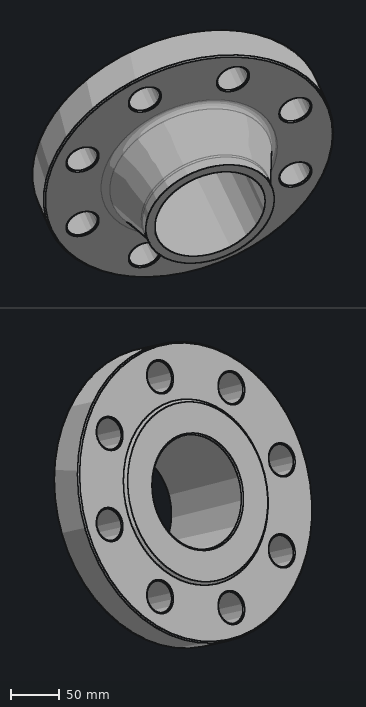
import cadquery as cq

total_length = 115.0
flange_diameter = 315.0
flange_back = 44.0
flange_chamfer = 1.5

raised_face_height = 3.0
raised_face_diameter = 188.0

neck_base_diameter = 180.0
weld_end_diameter = 139.5
weld_end_length = 13.5
neck_fillet = 8.2

bore_diameter = 119.7
bore_chamfer = 1.5

bolt_count = 8
bolt_circle_diameter = 250.0
bolt_hole_diameter = 33.0
bolt_hole_chamfer = 1.3


def make_body():
    """Revolve the outer profile, with both ends of the conical neck rounded."""
    face_radius = raised_face_diameter / 2
    flange_radius = flange_diameter / 2
    neck_radius = neck_base_diameter / 2
    weld_radius = weld_end_diameter / 2
    neck_end = total_length - weld_end_length

    body = (
        cq.Workplane("XY")
        .moveTo(0, 0)
        .lineTo(0, face_radius)
        .lineTo(raised_face_height, face_radius + raised_face_height)
        .lineTo(raised_face_height, flange_radius - flange_chamfer)
        .lineTo(raised_face_height + flange_chamfer, flange_radius)
        .lineTo(flange_back - flange_chamfer, flange_radius)
        .lineTo(flange_back, flange_radius - flange_chamfer)
        .lineTo(flange_back, neck_radius)
        .lineTo(neck_end, weld_radius)
        .lineTo(total_length, weld_radius)
        .lineTo(total_length, 0)
        .close()
        .revolve(360, (0, 0, 0), (1, 0, 0))
    )

    def bounds_cone(edge):
        below_rim = edge.radius() < face_radius
        return below_rim and flange_back <= round(edge.Center().x, 3) < total_length

    return body.edges("%CIRCLE").filter(bounds_cone).fillet(neck_fillet)


def make_hole(diameter, start, end, front_chamfer, back_chamfer=0.0):
    """Cutter along X from start to end, widened by a 45 degree chamfer at either end."""
    radius = diameter / 2
    profile = (
        cq.Workplane("XY")
        .moveTo(start, 0)
        .lineTo(start, radius + front_chamfer)
        .lineTo(start + front_chamfer, radius)
        .lineTo(end - back_chamfer, radius)
    )
    if back_chamfer > 0:
        profile = profile.lineTo(end, radius + back_chamfer)
    return profile.lineTo(end, 0).close().revolve(360, (0, 0, 0), (1, 0, 0))


result = make_body().cut(make_hole(bore_diameter, 0, total_length, bore_chamfer))

bolt_hole = make_hole(
    bolt_hole_diameter, raised_face_height, flange_back, bolt_hole_chamfer, bolt_hole_chamfer
).translate((0, bolt_circle_diameter / 2, 0))
bolt_pitch_angle = 360 / bolt_count

for index in range(bolt_count):
    angle = (index + 0.5) * bolt_pitch_angle
    result = result.cut(bolt_hole.rotate((0, 0, 0), (1, 0, 0), angle))